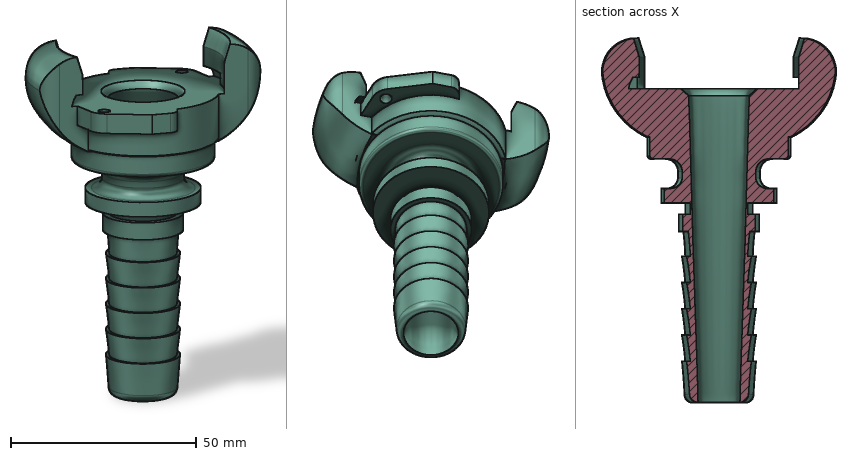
import cadquery as cq

TOTAL_HEIGHT = 98.4
FACE_Z = 84.7
EAR_BOTTOM_Z = 79.3
HEAD_BOTTOM_Z = 72.2
COLLAR_TOP_Z = 71.6
COLLAR_BOTTOM_Z = 65.7
NECK_TOP_Z = 62.5
NECK_BOTTOM_Z = 60.7
FLANGE_TOP_Z = 57.8
FLANGE_BOTTOM_Z = 53.8
RING_TOP_Z = 50.9
RING_BOTTOM_Z = 46.1

HEAD_R = 20.7
COLLAR_R = 19.4
COLLAR_ROUND = 1.1
NECK_R = 11.1
FLANGE_R = 15.6
STEM_R = 9.1
RING_R = 10.9

BARB_COUNT = 5
BARB_PITCH = 7.1
LOWEST_BARB_Z = 11.2
BARB_R = 10.0
FIRST_TAPER_R = 9.6
TIP_R = 9.3
TIP_ROUND = 2.3

BORE_R = 7.4
MOUTH_R = 9.4
MOUTH_CHAMFER = 1.9

CLAW_HALF_WIDTH = 9.1
CLAW_REACH = 31.7
CLAW_TOP_R = 9.3
CLAW_BACK_R = 21.2
CLAW_INNER_R = 22.0
CLAW_MOUTH_R = 23.5
CLAW_MOUTH_DEPTH = 5.1
CLAW_FLAT_HALF = 5.2
CLAW_ROUND_START = 26.7
CLAW_ROUND_R = 5.2
CLAW_ROOT_Y = 19.5
CLAW_BASE_Y = 14.8
CLAW_AXIS_Y = -19.7

POCKET_R = 24.8
POCKET_TOP_R = 23.6
POCKET_HEIGHT = 3.05
POCKET_ROUND_R = 6.1
POCKET_OFFSET = 0.4

EAR_SPAN = 47.9
EAR_REACH = EAR_SPAN / 2
EAR_CORNER_ROUND = 5.4
EAR_HEEL_ROUND = 2.8
EAR_HOLE_R = 1.6
EAR_HOLE_X = -16.1
EAR_HOLE_Y = 16.2


def turned_body():
    """Head, collar, waisted neck, flange and barbed hose tail in one revolve."""
    top_fillet = COLLAR_BOTTOM_Z - NECK_TOP_Z
    bottom_fillet = NECK_BOTTOM_Z - FLANGE_TOP_Z
    outline = (
        cq.Workplane("XZ")
        .moveTo(0, FACE_Z)
        .lineTo(HEAD_R, FACE_Z)
        .lineTo(HEAD_R, HEAD_BOTTOM_Z)
        .lineTo(COLLAR_R, COLLAR_TOP_Z)
        .lineTo(COLLAR_R, COLLAR_BOTTOM_Z + COLLAR_ROUND)
        .radiusArc((COLLAR_R - COLLAR_ROUND, COLLAR_BOTTOM_Z), COLLAR_ROUND)
        .lineTo(NECK_R + top_fillet, COLLAR_BOTTOM_Z)
        .radiusArc((NECK_R, NECK_TOP_Z), -top_fillet)
        .lineTo(NECK_R, NECK_BOTTOM_Z)
        .radiusArc((NECK_R + bottom_fillet, FLANGE_TOP_Z), -bottom_fillet)
        .lineTo(FLANGE_R, FLANGE_TOP_Z)
        .lineTo(FLANGE_R, FLANGE_BOTTOM_Z)
        .lineTo(STEM_R, FLANGE_BOTTOM_Z)
        .lineTo(STEM_R, RING_TOP_Z)
        .lineTo(RING_R, RING_TOP_Z)
        .lineTo(RING_R, RING_BOTTOM_Z)
        .lineTo(FIRST_TAPER_R, RING_BOTTOM_Z)
    )
    for index in reversed(range(BARB_COUNT)):
        edge_z = LOWEST_BARB_Z + index * BARB_PITCH
        outline = outline.lineTo(STEM_R, edge_z).lineTo(BARB_R, edge_z)
    outline = (
        outline.lineTo(TIP_R, TIP_ROUND)
        .radiusArc((TIP_R - TIP_ROUND, 0), TIP_ROUND)
        .lineTo(0, 0)
        .close()
    )
    return outline.revolve(360, (0, 0, 0), (0, 1, 0))


def bore():
    """Through bore tapering down to the hose end, with a chamfered mouth at the face."""
    return (
        cq.Workplane("XZ")
        .moveTo(0, 0)
        .lineTo(BORE_R, 0)
        .lineTo(MOUTH_R, FACE_Z - MOUTH_CHAMFER)
        .lineTo(MOUTH_R + MOUTH_CHAMFER, FACE_Z)
        .lineTo(0, FACE_Z)
        .close()
        .revolve(360, (0, 0, 0), (0, 1, 0))
    )


def claw_gap():
    """Space between the claws above the face, widening at the tips."""
    return (
        cq.Workplane("XZ")
        .moveTo(0, FACE_Z)
        .lineTo(CLAW_INNER_R, FACE_Z)
        .lineTo(CLAW_INNER_R, TOTAL_HEIGHT - CLAW_MOUTH_DEPTH)
        .lineTo(CLAW_MOUTH_R, TOTAL_HEIGHT)
        .lineTo(0, TOTAL_HEIGHT)
        .close()
        .revolve(360, (0, 0, 0), (0, 1, 0))
    )


def claw_pocket():
    """Ring-shaped pocket on the -X half of the +Y claw, just above the face."""
    ring = (
        cq.Workplane("XZ")
        .moveTo(0, FACE_Z)
        .lineTo(POCKET_R, FACE_Z)
        .radiusArc((POCKET_TOP_R, FACE_Z + POCKET_HEIGHT), -POCKET_ROUND_R)
        .lineTo(0, FACE_Z + POCKET_HEIGHT)
        .close()
        .revolve(360, (0, 0, 0), (0, 1, 0))
    )
    half = cq.Workplane("XY").box(
        CLAW_REACH, CLAW_REACH, TOTAL_HEIGHT, centered=False
    ).translate((-CLAW_REACH - POCKET_OFFSET, 0, 0))
    return ring.intersect(half)


def claw():
    """Claw on the +Y side."""
    widest_z = TOTAL_HEIGHT - CLAW_TOP_R
    side = (
        cq.Workplane("YZ")
        .moveTo(0, COLLAR_TOP_Z)
        .lineTo(CLAW_ROOT_Y, COLLAR_TOP_Z)
        .radiusArc((CLAW_REACH, widest_z), -CLAW_BACK_R)
        .radiusArc((CLAW_REACH - CLAW_TOP_R, TOTAL_HEIGHT), -CLAW_TOP_R)
        .lineTo(0, TOTAL_HEIGHT)
        .close()
        .revolve(360, (CLAW_AXIS_Y, 0, 0), (CLAW_AXIS_Y, 1, 0))
    )
    plan = (
        cq.Workplane("XY")
        .moveTo(-CLAW_HALF_WIDTH, CLAW_BASE_Y)
        .lineTo(CLAW_HALF_WIDTH, CLAW_BASE_Y)
        .lineTo(CLAW_HALF_WIDTH, CLAW_ROUND_START)
        .radiusArc((CLAW_FLAT_HALF, CLAW_REACH), -CLAW_ROUND_R)
        .lineTo(-CLAW_FLAT_HALF, CLAW_REACH)
        .radiusArc((-CLAW_HALF_WIDTH, CLAW_ROUND_START), -CLAW_ROUND_R)
        .close()
        .extrude(TOTAL_HEIGHT)
    )
    return side.intersect(plan).cut(claw_gap()).cut(claw_pocket())


def ear():
    """Drilled ear on the -X side, running from the claw round to the head."""
    shoulder = (-CLAW_HALF_WIDTH, 21.5)
    corner = (-18.4, 19.2)
    flank = (-EAR_REACH, 5.1)
    heel = (-EAR_REACH, -2.1)
    heel_end = (-20.3, -3.1)
    plate = (
        cq.Workplane("XY", origin=(0, 0, EAR_BOTTOM_Z))
        .polyline([(0, 0), shoulder, corner, flank, heel, heel_end])
        .close()
        .extrude(FACE_Z - EAR_BOTTOM_Z)
    )
    mid_z = (EAR_BOTTOM_Z + FACE_Z) / 2
    for (x, y), radius in ((corner, EAR_CORNER_ROUND), (heel, EAR_HEEL_ROUND)):
        plate = plate.edges(cq.selectors.NearestToPointSelector((x, y, mid_z))).fillet(radius)
    hole = (
        cq.Workplane("XY", origin=(EAR_HOLE_X, EAR_HOLE_Y, EAR_BOTTOM_Z))
        .circle(EAR_HOLE_R)
        .extrude(FACE_Z - EAR_BOTTOM_Z)
    )
    return plate.cut(hole)


result = turned_body()
for angle in (0, 180):
    for feature in (claw(), ear()):
        result = result.union(feature.rotate((0, 0, 0), (0, 0, 1), angle))
result = result.cut(bore())